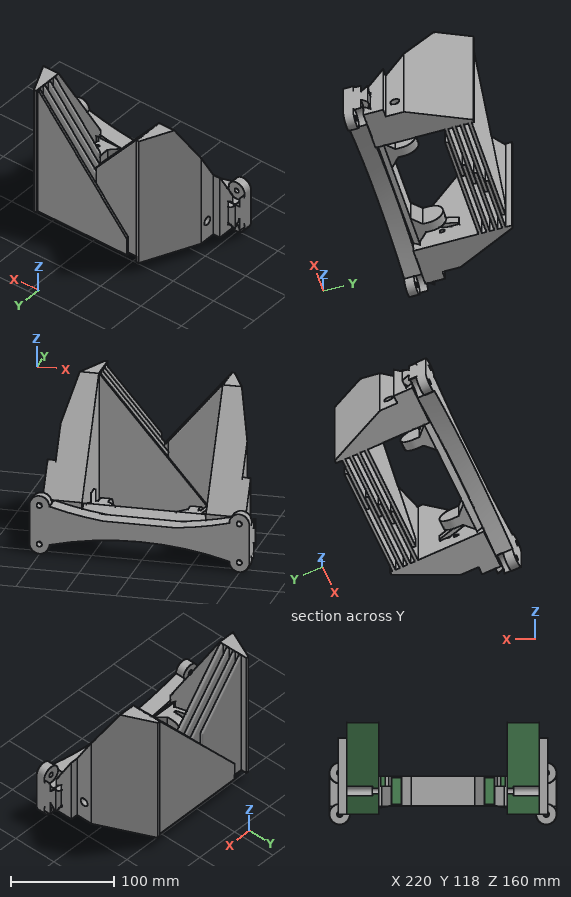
import cadquery as cq
import math

BOLT_X = 100.0
LUG_RADIUS = 10.0
LUG_THICKNESS = 10.0
LOW_LUG_Z = LUG_RADIUS
HIGH_LUG_Z = 50.0
BOLT_DIAMETER = 5.1
BAR_DEPTH = 18.0
BAR_HALF_LENGTH = BOLT_X + LUG_RADIUS
ARCH_HALF_SPAN = BOLT_X - LUG_RADIUS
ARCH_RADIUS = 347.0

RAIL_DEPTH = 7.0
RAIL_NECK_LOW_Z = 25.0
RAIL_NECK_HIGH_Z = 40.0
RAIL_BACK_Y = BAR_DEPTH + RAIL_DEPTH
RAIL_LOW_Z = RAIL_NECK_LOW_Z - RAIL_DEPTH
RAIL_HIGH_Z = RAIL_NECK_HIGH_Z + RAIL_DEPTH
RAIL_HEIGHT = RAIL_HIGH_Z - RAIL_LOW_Z
RAIL_MID_Z = (RAIL_LOW_Z + RAIL_HIGH_Z) / 2
SLOT_MOUTH_CLEARANCE = 1.0

TAB_X = 45.0
TAB_WIDTH = 10.0
TAB_INNER_X = TAB_X - TAB_WIDTH / 2
TAB_OUTER_X = TAB_X + TAB_WIDTH / 2
TAB_END_Y = 55.0
TAB_RADIUS = RAIL_HEIGHT / 2
TAB_CENTRE_Y = TAB_END_Y - TAB_RADIUS
FOOT_DEPTH = 9.5
FOOT_BACK_Y = RAIL_BACK_Y + FOOT_DEPTH

LATCH_ANGLE = math.radians(15.0)
LATCH_THICKNESS = 4.5
LATCH_HEIGHT = 10.0
LATCH_GAP = 2.4
LATCH_ROOT_Y = FOOT_BACK_Y - 6.0
LATCH_TIP_Y = 64.7

JAW_INNER_X = 62.0
JAW_FRONT_X = 101.6
JAW_SIDE_X = 93.4
JAW_BACK_X = 65.0
JAW_STEP_Y = 38.0
JAW_TAPER_Y = 56.5
JAW_BACK_Y = 118.0
JAW_TOP_FRONT_Y = 83.0
JAW_LOW_Z = LOW_LUG_Z
JAW_FRONT_HIGH_Z = HIGH_LUG_Z
JAW_TOP_Z = 160.0

SIDE_HOLE_DIAMETER = 5.1
SIDE_COUNTERBORE_DIAMETER = 9.0
SIDE_COUNTERBORE_DEPTH = 25.0
SIDE_HOLE_Y = (JAW_STEP_Y + JAW_TAPER_Y) / 2

BLADES_PER_JAW = 4
BLADE_THICKNESS = 3.5
BLADE_RADIUS = BLADE_THICKNESS / 2
BLADE_PITCH = 4.0
FIRST_BLADE_Y = 84.0
LONG_BLADE_REACH = 110.0
SHORT_BLADE_REACH = 80.0
REACH_STEP = 12.0
LONG_BLADE_TIP_Z = 30.0
BLADE_ANGLE = math.atan((JAW_TOP_Z - LONG_BLADE_TIP_Z) / LONG_BLADE_REACH)


def y_cylinder(x, z, radius, start_y, end_y):
    return cq.Workplane("XZ", origin=(x, start_y, z)).circle(radius).extrude(start_y - end_y)


def x_cylinder(x, y, z, radius, length):
    return cq.Workplane("YZ", origin=(x, y, z)).circle(radius).extrude(length)


def make_bar():
    """Arched bar, with the middle of its top edge flattened level with the rail's neck."""

    def arch_rise(x):
        return math.sqrt(ARCH_RADIUS**2 - x**2) - math.sqrt(ARCH_RADIUS**2 - ARCH_HALF_SPAN**2)

    def top_point(x):
        return (x, HIGH_LUG_Z - arch_rise(x))

    arch_centre_z = HIGH_LUG_Z + math.sqrt(ARCH_RADIUS**2 - ARCH_HALF_SPAN**2)
    flat_half = math.sqrt(ARCH_RADIUS**2 - (arch_centre_z - RAIL_NECK_HIGH_Z) ** 2)
    arc_middle = (flat_half + ARCH_HALF_SPAN) / 2
    return (
        cq.Workplane("XZ")
        .moveTo(-BAR_HALF_LENGTH, LOW_LUG_Z)
        .lineTo(-ARCH_HALF_SPAN, LOW_LUG_Z)
        .threePointArc((0, LOW_LUG_Z + arch_rise(0)), (ARCH_HALF_SPAN, LOW_LUG_Z))
        .lineTo(BAR_HALF_LENGTH, LOW_LUG_Z)
        .lineTo(BAR_HALF_LENGTH, HIGH_LUG_Z)
        .lineTo(ARCH_HALF_SPAN, HIGH_LUG_Z)
        .threePointArc(top_point(arc_middle), top_point(flat_half))
        .lineTo(*top_point(-flat_half))
        .threePointArc(top_point(-arc_middle), (-ARCH_HALF_SPAN, HIGH_LUG_Z))
        .lineTo(-BAR_HALF_LENGTH, HIGH_LUG_Z)
        .close()
        .extrude(-BAR_DEPTH)
    )


def make_dovetail(neck_clearance):
    """Dovetail over the bar's whole length, its neck widened by the clearance on each side."""
    return (
        cq.Workplane("YZ", origin=(-BAR_HALF_LENGTH, 0, 0))
        .polyline(
            [
                (BAR_DEPTH, RAIL_NECK_LOW_Z - neck_clearance),
                (RAIL_BACK_Y, RAIL_LOW_Z),
                (RAIL_BACK_Y, RAIL_HIGH_Z),
                (BAR_DEPTH, RAIL_NECK_HIGH_Z + neck_clearance),
            ]
        )
        .close()
        .extrude(2 * BAR_HALF_LENGTH)
    )


def make_tab():
    """Tab on the +X side, with its foot."""
    foot = (
        cq.Workplane("XY", origin=(0, 0, RAIL_LOW_Z))
        .polyline(
            [
                (TAB_INNER_X - FOOT_DEPTH, RAIL_BACK_Y),
                (TAB_OUTER_X + FOOT_DEPTH, RAIL_BACK_Y),
                (TAB_OUTER_X, FOOT_BACK_Y),
                (TAB_INNER_X, FOOT_BACK_Y),
            ]
        )
        .close()
        .extrude(RAIL_HEIGHT)
    )
    tab = (
        cq.Workplane("YZ", origin=(TAB_INNER_X, 0, 0))
        .moveTo(RAIL_BACK_Y, RAIL_LOW_Z)
        .lineTo(TAB_CENTRE_Y, RAIL_LOW_Z)
        .threePointArc((TAB_END_Y, RAIL_MID_Z), (TAB_CENTRE_Y, RAIL_HIGH_Z))
        .lineTo(RAIL_BACK_Y, RAIL_HIGH_Z)
        .close()
        .extrude(TAB_WIDTH)
    )
    return foot.union(tab)


def make_latch():
    """Latch arm on the +X side, rooted in the tab's foot."""
    width = LATCH_THICKNESS / math.cos(LATCH_ANGLE)

    def inner_x(y):
        return TAB_OUTER_X + LATCH_GAP + (y - FOOT_BACK_Y) * math.tan(LATCH_ANGLE)

    return (
        cq.Workplane("XY", origin=(0, 0, RAIL_HIGH_Z - LATCH_HEIGHT))
        .polyline(
            [
                (TAB_OUTER_X, LATCH_ROOT_Y),
                (TAB_OUTER_X, FOOT_BACK_Y),
                (inner_x(FOOT_BACK_Y), FOOT_BACK_Y),
                (inner_x(LATCH_TIP_Y), LATCH_TIP_Y),
                (inner_x(LATCH_TIP_Y) + width, LATCH_TIP_Y),
                (inner_x(LATCH_ROOT_Y) + width, LATCH_ROOT_Y),
            ]
        )
        .close()
        .extrude(LATCH_HEIGHT)
    )


def make_bracket():
    bracket = make_bar().union(make_dovetail(0))
    for x in (-BOLT_X, BOLT_X):
        for z in (LOW_LUG_Z, HIGH_LUG_Z):
            bracket = bracket.cut(y_cylinder(x, z, LUG_RADIUS, LUG_THICKNESS, RAIL_BACK_Y))
            bracket = bracket.union(y_cylinder(x, z, LUG_RADIUS, 0, LUG_THICKNESS))
            bracket = bracket.cut(y_cylinder(x, z, BOLT_DIAMETER / 2, 0, LUG_THICKNESS))
    tab_and_latch = make_tab().union(make_latch())
    return bracket.union(tab_and_latch).union(tab_and_latch.mirror("YZ"))


def make_jaw_body():
    """Body of the +X jaw, without blades."""
    plan = (
        cq.Workplane("XY", origin=(0, 0, JAW_LOW_Z))
        .polyline(
            [
                (JAW_INNER_X, BAR_DEPTH),
                (JAW_FRONT_X, BAR_DEPTH),
                (JAW_FRONT_X, JAW_STEP_Y),
                (JAW_SIDE_X, JAW_STEP_Y),
                (JAW_SIDE_X, JAW_TAPER_Y),
                (JAW_BACK_X, JAW_BACK_Y),
                (JAW_INNER_X, JAW_BACK_Y),
            ]
        )
        .close()
        .extrude(JAW_TOP_Z - JAW_LOW_Z)
    )
    side_profile = (
        cq.Workplane("YZ")
        .polyline(
            [
                (BAR_DEPTH, JAW_LOW_Z),
                (JAW_BACK_Y, JAW_LOW_Z),
                (JAW_BACK_Y, JAW_TOP_Z),
                (JAW_TOP_FRONT_Y, JAW_TOP_Z),
                (BAR_DEPTH, JAW_FRONT_HIGH_Z),
            ]
        )
        .close()
        .extrude(JAW_FRONT_X)
    )
    hole = x_cylinder(
        JAW_INNER_X, SIDE_HOLE_Y, RAIL_MID_Z, SIDE_HOLE_DIAMETER / 2, JAW_SIDE_X - JAW_INNER_X
    )
    counterbore = x_cylinder(
        JAW_SIDE_X, SIDE_HOLE_Y, RAIL_MID_Z, SIDE_COUNTERBORE_DIAMETER / 2, -SIDE_COUNTERBORE_DEPTH
    )
    body = plan.intersect(side_profile)
    body = body.cut(make_dovetail(SLOT_MOUTH_CLEARANCE)).cut(make_latch())
    return body.cut(hole).cut(counterbore)


def make_blade(reach, front_y):
    """Blade of the +X jaw with a full round along its slanted top edge and its upright tip."""
    middle_y = front_y + BLADE_RADIUS
    start_x = JAW_INNER_X + BLADE_RADIUS * math.sin(BLADE_ANGLE)
    start_z = JAW_TOP_Z - BLADE_RADIUS * math.cos(BLADE_ANGLE)
    end_x = JAW_INNER_X - reach + BLADE_RADIUS
    end_z = start_z - (start_x - end_x) * math.tan(BLADE_ANGLE)

    plate = (
        cq.Workplane("XZ", origin=(0, front_y, 0))
        .polyline([(start_x, JAW_LOW_Z), (start_x, start_z), (end_x, end_z), (end_x, JAW_LOW_Z)])
        .close()
        .extrude(-BLADE_THICKNESS)
    )
    top_axis = cq.Vector(start_x - end_x, 0, start_z - end_z)
    corner = cq.Vector(end_x, middle_y, end_z)
    top_round = cq.Solid.makeCylinder(BLADE_RADIUS, top_axis.Length, corner, top_axis)
    tip_round = (
        cq.Workplane("XY", origin=(end_x, middle_y, JAW_LOW_Z))
        .circle(BLADE_RADIUS)
        .extrude(end_z - JAW_LOW_Z)
    )
    corner_round = cq.Workplane("XY", origin=corner.toTuple()).sphere(BLADE_RADIUS)
    return plate.union(cq.Workplane(top_round)).union(tip_round).union(corner_round)


def make_square_half(reach, front_y):
    """Half-thickness plate that squares off one face of a blade of the +X jaw."""
    tip_x = JAW_INNER_X - reach
    tip_z = JAW_TOP_Z - reach * math.tan(BLADE_ANGLE)
    return (
        cq.Workplane("XZ", origin=(0, front_y, 0))
        .polyline(
            [(JAW_INNER_X, JAW_LOW_Z), (JAW_INNER_X, JAW_TOP_Z), (tip_x, tip_z), (tip_x, JAW_LOW_Z)]
        )
        .close()
        .extrude(-BLADE_RADIUS)
    )


def make_jaw(first_blade_y, blade_step, square_half_y):
    """Jaw on the +X side, its long blade first and squared off on its outward face."""
    jaw = make_jaw_body()
    for index in range(BLADES_PER_JAW):
        blade_y = first_blade_y + index * blade_step
        if index == 0:
            reach = LONG_BLADE_REACH
            jaw = jaw.union(make_square_half(reach, square_half_y))
        else:
            reach = SHORT_BLADE_REACH - (index - 1) * REACH_STEP
        jaw = jaw.union(make_blade(reach, blade_y))
    return jaw


bracket = make_bracket()

left_jaw = make_jaw(FIRST_BLADE_Y, 2 * BLADE_PITCH, FIRST_BLADE_Y).mirror("YZ")
last_blade_y = FIRST_BLADE_Y + (2 * BLADES_PER_JAW - 1) * BLADE_PITCH
right_jaw = make_jaw(last_blade_y, -2 * BLADE_PITCH, last_blade_y + BLADE_RADIUS)

result = cq.Compound.makeCompound(
    [bracket.solids().val(), left_jaw.solids().val(), right_jaw.solids().val()]
)